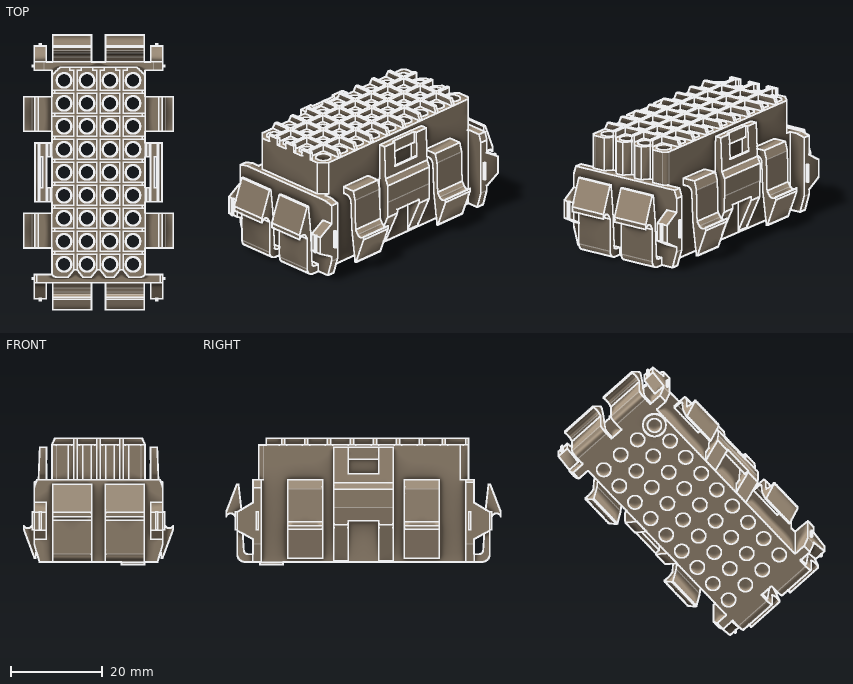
import cadquery as cq

OVERALL_WIDTH = 32.6
OVERALL_LENGTH = 59.8

COLUMNS = 4
ROWS = 9
ROW_SPAN = 40.0
PITCH = ROW_SPAN / (ROWS - 1)
HOLE_TOP_DIAMETER = 3.3
HOLE_BOTTOM_DIAMETER = 3.05

HALF_WIDTH = 10.15
FRONT_Y = -22.8
BACK_Y = 22.85
SHOULDER_Z = 17.95
CELL_TOP_Z = 25.5
FRONT_CORNER_RADIUS = 1.0
BACK_CORNER_CHAMFER = 1.8
NOTCH_FLOOR_Y = -21.15
NOTCH_MOUTH_WIDTH = 3.2

RIB_TOP_Z = 26.95
RIB_WIDTH = 0.65
RIB_END_RUN = 0.65
RIB_HEAD_WIDTH = 2.5

PLATE_HALF_WIDTH = 14.0
PLATE_INNER_Y = 22.2
PLATE_OUTER_Y = 24.05
PLATE_FOOT_HALF_WIDTH = 12.85
PLATE_FOOT_Z = 3.95
FRONT_TOP_HALF_WIDTH = 13.4
FRONT_SHOULDER_Z = 16.15
BACK_TOP_HALF_WIDTH = 11.95
BACK_SHOULDER_Z = 17.4

LUG_INNER_X = 11.35
LUG_OUTER_Y = 27.5
LUG_ROOT_Z = (4.95, 13.0)
LUG_FACE_Z = (6.9, 10.9)
CRUSH_WIDTH = 0.35
CRUSH_HEIGHT = 0.4
CRUSH_Z = (7.0, 10.95)

END_CLIP_WIDTH = 8.5
END_CLIP_X = 5.75
END_CLIP_TIP_Y = OVERALL_LENGTH / 2
END_CLIP_ARM_Y = 27.5
END_CLIP_ARM_INNER_Y = 26.0
END_CLIP_BEND_RADIUS = 1.8
END_CLIP_FOOT_THICKNESS = 1.75
END_CLIP_INNER_RADIUS = 0.9
END_CLIP_TOP_Z = 16.9
SIDE_CLIP_WIDTH = 7.6
SIDE_CLIP_Y = 12.7
SIDE_CLIP_TIP_X = OVERALL_WIDTH / 2
SIDE_CLIP_ROOT_THICKNESS = 1.55

LATCH_WIDTH = 12.85
LATCH_TOP_Z = 25.0
LATCH_OPENING = 6.7
LATCH_BAR_INNER_X = 12.7
LATCH_BAR_BOTTOM_Z = 8.95
WINDOW_BOTTOM_Z = 19.25
CROSSBAR_X = (11.3, 12.2)
CROSSBAR_BOTTOM_Z = 22.35

DISC_DIAMETER = 5.0
DISC_HEIGHT = 0.55


def box(x, y, z):
    """Box from (low, high) pairs along each axis."""
    size = [high - low for low, high in (x, y, z)]
    return cq.Workplane("XY").box(*size, centered=False).translate((x[0], y[0], z[0]))


def both_sides(shape, plane):
    """A shape together with its mirror image."""
    return shape.union(shape.mirror(plane))


def centres(count):
    """Evenly pitched positions about zero."""
    return [(i - (count - 1) / 2) * PITCH for i in range(count)]


def midpoints(count):
    """Positions halfway between neighbouring contacts."""
    return [centre + PITCH / 2 for centre in centres(count)[:-1]]


def upper_block():
    """Cell block above the shoulder, notched between the columns on its front face."""
    block = box((-HALF_WIDTH, HALF_WIDTH), (FRONT_Y, BACK_Y), (SHOULDER_Z, CELL_TOP_Z))
    block = block.edges("|Z and <Y").fillet(FRONT_CORNER_RADIUS)
    block = block.edges("|Z and >Y").chamfer(BACK_CORNER_CHAMFER)
    for x in midpoints(COLUMNS):
        notch = (
            cq.Workplane("XY", origin=(x, 0, SHOULDER_Z))
            .moveTo(-NOTCH_MOUTH_WIDTH / 2, FRONT_Y)
            .lineTo(-RIB_WIDTH / 2, NOTCH_FLOOR_Y)
            .lineTo(RIB_WIDTH / 2, NOTCH_FLOOR_Y)
            .lineTo(NOTCH_MOUTH_WIDTH / 2, FRONT_Y)
            .close()
            .extrude(CELL_TOP_Z - SHOULDER_Z)
        )
        block = block.cut(notch)
    return block


def ribs():
    """Partition grid: sloping ends across the block, T heads at the back."""
    rib_z = (CELL_TOP_Z, RIB_TOP_Z)
    cross_rib = (
        cq.Workplane("XZ")
        .moveTo(-HALF_WIDTH, CELL_TOP_Z)
        .lineTo(HALF_WIDTH, CELL_TOP_Z)
        .lineTo(HALF_WIDTH - RIB_END_RUN, RIB_TOP_Z)
        .lineTo(-HALF_WIDTH + RIB_END_RUN, RIB_TOP_Z)
        .close()
        .extrude(RIB_WIDTH / 2, both=True)
    )
    grid = cq.Workplane("XY")
    for y in midpoints(ROWS):
        grid = grid.union(cross_rib.translate((0, y, 0)))
    for x in midpoints(COLUMNS):
        long_rib = box((x - RIB_WIDTH / 2, x + RIB_WIDTH / 2), (NOTCH_FLOOR_Y, BACK_Y), rib_z)
        head = box(
            (x - RIB_HEAD_WIDTH / 2, x + RIB_HEAD_WIDTH / 2),
            (BACK_Y - RIB_WIDTH, BACK_Y),
            rib_z,
        )
        grid = grid.union(long_rib).union(head)
    return grid


def end_plate(inner_y, top_half_width, shoulder_z):
    """Plate across one end, its lower y face at inner_y, with all corners bevelled."""
    half_outline = [
        (top_half_width, SHOULDER_Z),
        (PLATE_HALF_WIDTH, shoulder_z),
        (PLATE_HALF_WIDTH, PLATE_FOOT_Z),
        (PLATE_FOOT_HALF_WIDTH, 0),
    ]
    other_half = [(-x, z) for x, z in reversed(half_outline)]
    return (
        cq.Workplane("XZ", origin=(0, inner_y, 0))
        .polyline(half_outline + other_half)
        .close()
        .extrude(-(PLATE_OUTER_Y - PLATE_INNER_Y))
    )


def corner_lug():
    """Tapered lug on the +X +Y plate corner and the crush ribs beside it."""
    lug = (
        cq.Workplane("YZ", origin=(LUG_INNER_X, 0, 0))
        .moveTo(PLATE_OUTER_Y, LUG_ROOT_Z[0])
        .lineTo(LUG_OUTER_Y, LUG_FACE_Z[0])
        .lineTo(LUG_OUTER_Y, LUG_FACE_Z[1])
        .lineTo(PLATE_OUTER_Y, LUG_ROOT_Z[1])
        .close()
        .extrude(PLATE_HALF_WIDTH - LUG_INNER_X)
    )
    face_x = (LUG_INNER_X + PLATE_HALF_WIDTH) / 2
    side_y = (PLATE_INNER_Y + PLATE_OUTER_Y) / 2
    face_rib = box(
        (face_x - CRUSH_WIDTH / 2, face_x + CRUSH_WIDTH / 2),
        (LUG_OUTER_Y - CRUSH_HEIGHT, LUG_OUTER_Y + CRUSH_HEIGHT),
        CRUSH_Z,
    )
    side_rib = box(
        (PLATE_HALF_WIDTH - CRUSH_HEIGHT, PLATE_HALF_WIDTH + CRUSH_HEIGHT),
        (side_y - CRUSH_WIDTH / 2, side_y + CRUSH_WIDTH / 2),
        CRUSH_Z,
    )
    return lug.union(face_rib).union(side_rib)


def end_clip():
    """J-shaped spring clip on the +Y plate, ending in a barbed hook."""
    bend = END_CLIP_BEND_RADIUS
    inner_bend = END_CLIP_INNER_RADIUS
    foot = END_CLIP_FOOT_THICKNESS
    arm = END_CLIP_ARM_Y
    return (
        cq.Workplane("YZ", origin=(END_CLIP_X, 0, 0))
        .moveTo(PLATE_OUTER_Y, 0)
        .lineTo(arm - bend, 0)
        .radiusArc((arm, bend), -bend)
        .lineTo(arm, 9.15)
        .lineTo(28.05, 10.1)
        .threePointArc((28.8, 10.6), (END_CLIP_TIP_Y, 9.8))
        .lineTo(END_CLIP_TIP_Y, 10.9)
        .lineTo(27.55, END_CLIP_TOP_Z)
        .lineTo(27.15, END_CLIP_TOP_Z)
        .lineTo(26.55, 11.55)
        .lineTo(END_CLIP_ARM_INNER_Y, foot + inner_bend)
        .radiusArc((END_CLIP_ARM_INNER_Y - inner_bend, foot), inner_bend)
        .lineTo(PLATE_OUTER_Y, foot)
        .close()
        .extrude(END_CLIP_WIDTH / 2, both=True)
    )


def side_clip():
    """Hanging spring clip on the +X side, with a sharp lead-in below its hook."""
    root_z = SHOULDER_Z - SIDE_CLIP_ROOT_THICKNESS
    return (
        cq.Workplane("XZ", origin=(0, SIDE_CLIP_Y, 0))
        .moveTo(HALF_WIDTH, SHOULDER_Z)
        .lineTo(13.15, SHOULDER_Z)
        .lineTo(13.7, 15.95)
        .lineTo(13.9, 8.8)
        .lineTo(14.5, 7.9)
        .threePointArc((15.3, 7.4), (SIDE_CLIP_TIP_X, 7.9))
        .lineTo(SIDE_CLIP_TIP_X, 7.2)
        .lineTo(13.95, 0.85)
        .lineTo(13.7, 0.85)
        .lineTo(12.75, 8.4)
        .lineTo(12.45, 15.0)
        .radiusArc((11.05, root_z), -1.4)
        .lineTo(HALF_WIDTH, root_z)
        .close()
        .extrude(SIDE_CLIP_WIDTH / 2, both=True)
    )


def centre_latch():
    """Two-legged latch on the +X side, joined by an outer bar and an upper crossbar."""
    web_z = 7.5
    outline = [
        (HALF_WIDTH, 0.3),
        (13.7, 8.1),
        (13.8, 11.9),
        (13.8, 15.85),
        (13.1, 17.3),
        (12.8, LATCH_TOP_Z),
        (11.35, LATCH_TOP_Z),
        (11.25, 16.75),
        (11.0, 8.4),
        (10.5, web_z),
        (HALF_WIDTH, web_z),
    ]
    latch = cq.Workplane("XZ").polyline(outline).close().extrude(LATCH_WIDTH / 2, both=True)
    opening_y = (-LATCH_OPENING / 2, LATCH_OPENING / 2)
    latch_x = (HALF_WIDTH, SIDE_CLIP_TIP_X)
    leg_gap = box(latch_x, opening_y, (0, LATCH_BAR_BOTTOM_Z))
    bar_relief = box((HALF_WIDTH, LATCH_BAR_INNER_X), opening_y, (0, WINDOW_BOTTOM_Z))
    window = box(latch_x, opening_y, (WINDOW_BOTTOM_Z, LATCH_TOP_Z))
    crossbar = box(CROSSBAR_X, opening_y, (CROSSBAR_BOTTOM_Z, LATCH_TOP_Z))
    return latch.cut(leg_gap).cut(bar_relief).cut(window).union(crossbar)


def tapered_hole():
    """Through-hole core for one contact, narrowing towards the bottom."""
    return (
        cq.Workplane("XY", origin=(0, 0, -DISC_HEIGHT))
        .circle(HOLE_BOTTOM_DIAMETER / 2)
        .workplane(offset=CELL_TOP_Z + DISC_HEIGHT)
        .circle(HOLE_TOP_DIAMETER / 2)
        .loft(ruled=True)
    )


lower_block = box((-HALF_WIDTH, HALF_WIDTH), (-PLATE_INNER_Y, PLATE_INNER_Y), (0, SHOULDER_Z))
front_plate = end_plate(-PLATE_OUTER_Y, FRONT_TOP_HALF_WIDTH, FRONT_SHOULDER_Z)
back_plate = end_plate(PLATE_INNER_Y, BACK_TOP_HALF_WIDTH, BACK_SHOULDER_Z)
result = lower_block.union(front_plate).union(back_plate).union(upper_block()).union(ribs())

for corner_feature in (corner_lug(), end_clip(), side_clip()):
    result = result.union(both_sides(both_sides(corner_feature, "YZ"), "XZ"))
result = result.union(both_sides(centre_latch(), "YZ"))

disc = (
    cq.Workplane("XY", origin=(centres(COLUMNS)[-1], centres(ROWS)[0], -DISC_HEIGHT))
    .circle(DISC_DIAMETER / 2)
    .extrude(DISC_HEIGHT)
)
result = result.union(disc)

hole = tapered_hole().val()
holes = [hole.translate(cq.Vector(x, y, 0)) for x in centres(COLUMNS) for y in centres(ROWS)]
result = result.cut(cq.Workplane(cq.Compound.makeCompound(holes))).solids()